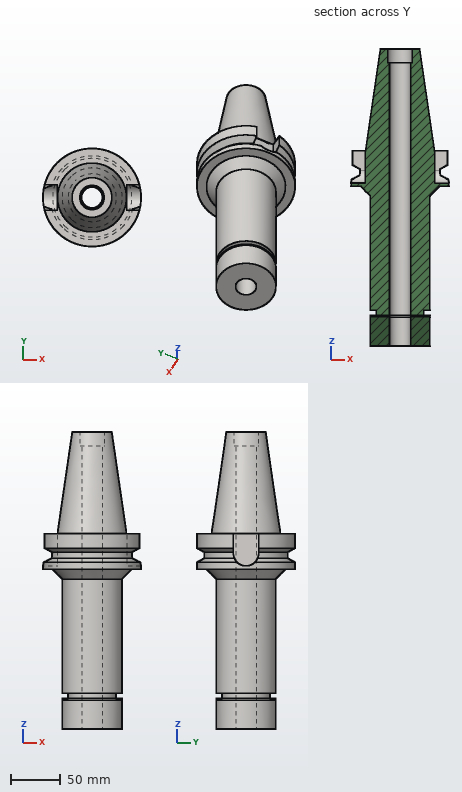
import cadquery as cq
import math

total_height = 301.8
flange_diameter = 100.0
flange_radius = flange_diameter / 2
through_bore_radius = 10.5

sleeve_radius = 30.5
nut_height = 29.3
ring_thickness = 1.8
ring_top = nut_height + ring_thickness

neck_radius = 24.5
shank_bottom = 36.2
cone_top_radius = 40.0
cone_height = cone_top_radius - sleeve_radius

flange_bottom = 162.0
flange_top = 198.5
lower_rim_height = 7.2
upper_rim_height = 14.8
groove_depth = 7.2
groove_flank_height = groove_depth * math.tan(math.radians(30))
groove_bottom = flange_bottom + lower_rim_height
groove_top = flange_top - upper_rim_height

collar_height = 1.5
taper_radius = 35.0
taper_bottom = flange_top + collar_height
taper_ratio = 7 / 24
taper_tip_radius = taper_radius - (total_height - taper_bottom) * taper_ratio / 2

counterbore_radius = 12.5
counterbore_depth = 14.0

slot_width = 25.7
slot_floor_x = 35.3
slot_bottom = 165.7


def make_sleeve(bottom, height):
    """Plain ring with the outer size of the shank and the through bore."""
    return (
        cq.Workplane("XY", origin=(0, 0, bottom))
        .circle(sleeve_radius)
        .circle(through_bore_radius)
        .extrude(height)
    )


def make_drive_slot(side):
    """Cutter for the slot on the +X (side = 1) or -X (side = -1) flank."""
    half_width = slot_width / 2
    arc_centre_z = slot_bottom + half_width
    slot_depth = flange_radius - slot_floor_x
    return (
        cq.Workplane("YZ", origin=(side * slot_floor_x, 0, 0))
        .moveTo(-half_width, taper_bottom)
        .lineTo(-half_width, arc_centre_z)
        .threePointArc((0, slot_bottom), (half_width, arc_centre_z))
        .lineTo(half_width, taper_bottom)
        .close()
        .extrude(side * slot_depth)
    )


def make_holder():
    """Taper, grooved flange and shank, with a stepped bore and drive slots."""
    groove_radius = flange_radius - groove_depth
    counterbore_bottom = total_height - counterbore_depth
    profile = [
        (through_bore_radius, ring_top),
        (neck_radius, ring_top),
        (neck_radius, shank_bottom),
        (sleeve_radius, shank_bottom),
        (sleeve_radius, flange_bottom - cone_height),
        (cone_top_radius, flange_bottom),
        (flange_radius, flange_bottom),
        (flange_radius, groove_bottom),
        (groove_radius, groove_bottom + groove_flank_height),
        (groove_radius, groove_top - groove_flank_height),
        (flange_radius, groove_top),
        (flange_radius, flange_top),
        (taper_radius, flange_top),
        (taper_radius, taper_bottom),
        (taper_tip_radius, total_height),
        (counterbore_radius, total_height),
        (counterbore_radius, counterbore_bottom),
        (through_bore_radius, counterbore_bottom),
    ]
    holder = cq.Workplane("XZ").polyline(profile).close().revolve(360, (0, 0, 0), (0, 1, 0))
    for side in (-1, 1):
        holder = holder.cut(make_drive_slot(side))
    return holder


nut = make_sleeve(0, nut_height)
ring = make_sleeve(nut_height, ring_thickness)
holder = make_holder()

result = cq.Compound.makeCompound([holder.val(), ring.val(), nut.val()])